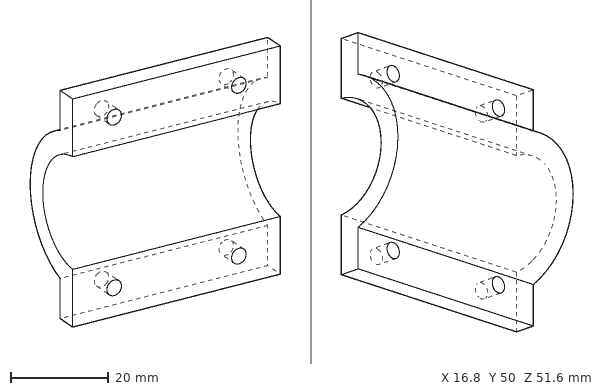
import cadquery as cq

length = 50.0
wall = 5.0
bore_radius = 12.77
axis_gap = 1.0
overall_height = 51.57

hole_diameter = 3.5
hole_spacing = 30.0
hole_edge_distance = 6.5

outer_radius = bore_radius + wall
mating_face_x = -axis_gap
hole_row_z = overall_height / 2 - hole_edge_distance


def cylinder_along_y(radius):
    return cq.Workplane("XZ").circle(radius).extrude(length / 2, both=True)


def flange_plate():
    plate = cq.Workplane("XY").box(wall, length, overall_height)
    return plate.translate((mating_face_x - wall / 2, 0, 0))


def saddle():
    keep = cq.Workplane("XY").box(outer_radius, length, 2 * outer_radius)
    keep = keep.translate((mating_face_x - outer_radius / 2, 0, 0))
    return cylinder_along_y(outer_radius).intersect(keep)


def bolt_holes():
    return (
        cq.Workplane("YZ")
        .rarray(hole_spacing, 2 * hole_row_z, 2, 2)
        .circle(hole_diameter / 2)
        .extrude(-outer_radius)
    )


body = flange_plate().union(saddle())
result = body.cut(cylinder_along_y(bore_radius)).cut(bolt_holes())